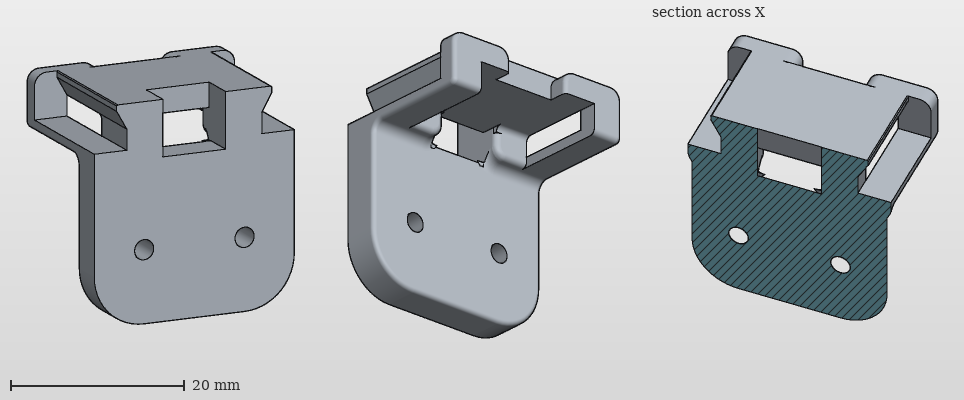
import cadquery as cq
import math

length = 18.8
width = 25.4
height = 26.55
half_width = width / 2

plate_thickness = 4.55
plate_front = length - plate_thickness
arm_depth = 6.87
inner_radius = 1.33
plate_corner_radius = 6.32
edge_radius = 0.53
lower_front_radius = 0.75

hook_length = 2.55
hook_gap = 8.33
hook_corner_radius = 1.55

channel_start = 2.45
channel_depth = 5.55
rail_bevel = 0.13
rail_max_width = 19.7
rail_top_width = rail_max_width - 2 * rail_bevel
rail_base_width = 17.15
rail_lip_depth = 0.77
rail_depth = 3.03

pillar_front = 11.95
pillar_corner_radius = 1.49
pillar_top_radius = 0.75
notch_width = 7.95

hole_diameter = 2.42
hole_spacing = 12.75
hole_depth_from_top = 17.68

diagonal = math.sqrt(0.5)
margin = 1.33


def block(x0, x1, y0, y1, z0, z1):
    """Box between the given limits."""
    return cq.Workplane("XY").box(x1 - x0, y1 - y0, z1 - z0, centered=False).translate((x0, y0, z0))


def make_bracket():
    """L-shaped body with two front hooks and rounded outer edges."""
    bend_x = plate_front - inner_radius
    bend_z = -arm_depth - inner_radius
    body = (
        cq.Workplane("XZ")
        .moveTo(0, 0)
        .lineTo(length, 0)
        .lineTo(length, -height)
        .lineTo(plate_front, -height)
        .lineTo(plate_front, bend_z)
        .threePointArc(
            (bend_x + inner_radius * diagonal, bend_z + inner_radius * diagonal),
            (bend_x, -arm_depth),
        )
        .lineTo(lower_front_radius, -arm_depth)
        .radiusArc((0, lower_front_radius - arm_depth), lower_front_radius)
        .close()
        .extrude(half_width, both=True)
    )
    gap = block(-margin, hook_length, -hook_gap / 2, hook_gap / 2, -arm_depth - margin, margin)
    body = body.cut(gap)
    body = body.edges("|X and <Z").fillet(plate_corner_radius)
    body = body.edges("|X and >Z").fillet(hook_corner_radius)
    rim_zone = cq.selectors.BoxSelector((-edge_radius, -width, -channel_depth), (edge_radius, width, margin))
    front_rims = body.faces("<X").edges(rim_zone)
    side_zone = cq.selectors.BoxSelector(
        (0, -width, -height - margin),
        (length - edge_radius, width, edge_radius - arm_depth),
    )
    outer_sides = body.edges(side_zone).edges("<Y or >Y or <Z")
    return front_rims.add(outer_sides).fillet(edge_radius)


def pillar_profile(y, base_z):
    """Pillar section hanging from base_z, with a rounded front edge and a flare onto the plate."""
    return (
        cq.Workplane("XZ", origin=(0, y, 0))
        .moveTo(pillar_front, base_z)
        .lineTo(pillar_front, lower_front_radius - arm_depth)
        .radiusArc((pillar_front + lower_front_radius, -arm_depth), -lower_front_radius)
        .lineTo(plate_front - inner_radius, -arm_depth)
        .radiusArc((plate_front, -arm_depth - inner_radius), inner_radius)
        .lineTo(plate_front, base_z)
        .close()
    )


def make_pillar():
    """Pillar on the +Y side, with its lower inner corner rounded about an axis along X."""
    inner_y = notch_width / 2
    outer_y = rail_base_width / 2
    corner_y = inner_y + pillar_corner_radius
    corner_z = pillar_corner_radius - arm_depth
    upper = block(pillar_front, plate_front, inner_y, outer_y, corner_z, -rail_depth)
    upper = upper.edges("|Z and <X and <Y").fillet(lower_front_radius)
    lower = pillar_profile(corner_y, corner_z).extrude(corner_y - outer_y)
    corner = pillar_profile(corner_y, corner_z).revolve(360, (0, corner_z), (1, corner_z))
    blend = (
        cq.Workplane("XZ", origin=(0, inner_y, 0))
        .moveTo(pillar_front, -rail_depth)
        .lineTo(pillar_front - pillar_top_radius, -rail_depth)
        .radiusArc((pillar_front, -rail_depth - pillar_top_radius), pillar_top_radius)
        .lineTo(pillar_front + edge_radius, -rail_depth - pillar_top_radius)
        .lineTo(pillar_front + edge_radius, -rail_depth)
        .close()
        .extrude(inner_y - outer_y)
    )
    return upper.union(lower).union(corner).union(blend)


def make_side_channel():
    """Cutter for the +Y channel; its inner wall follows the dovetail flank of the rail."""
    run = length + margin - channel_start
    return (
        cq.Workplane("YZ", origin=(channel_start, 0, 0))
        .moveTo(half_width + margin, margin)
        .lineTo(rail_top_width / 2, margin)
        .lineTo(rail_top_width / 2, 0)
        .lineTo(rail_max_width / 2, -rail_bevel)
        .lineTo(rail_max_width / 2, -rail_lip_depth)
        .lineTo(rail_base_width / 2, -rail_depth)
        .lineTo(rail_base_width / 2, -channel_depth)
        .lineTo(half_width + margin, -channel_depth)
        .close()
        .extrude(run)
    )


def make_notch():
    """Cutter for the window under the rail and the notch through the rail and plate."""
    half_notch = notch_width / 2
    window = block(-margin, length + margin, -half_notch, half_notch, -arm_depth, -rail_depth)
    notch = block(plate_front, length + margin, -half_notch, half_notch, -arm_depth, margin)
    floor_rounding = (
        cq.Workplane("XZ")
        .moveTo(plate_front, -arm_depth)
        .lineTo(plate_front + edge_radius, -arm_depth)
        .radiusArc((plate_front, -arm_depth - edge_radius), -edge_radius)
        .close()
        .extrude(half_notch, both=True)
    )
    return window.union(notch).union(floor_rounding)


def make_holes():
    """Cutters for the two screw holes through the plate."""
    return (
        cq.Workplane("YZ", origin=(plate_front - margin, 0, 0))
        .pushPoints([(side * hole_spacing / 2, -hole_depth_from_top) for side in (-1, 1)])
        .circle(hole_diameter / 2)
        .extrude(plate_thickness + 2 * margin)
    )


clearance_bottom = -arm_depth - inner_radius
half_base = rail_base_width / 2
clearance = block(-margin, plate_front, -half_base, half_base, clearance_bottom, -rail_depth)
result = make_bracket().cut(clearance)

pillar = make_pillar()
channel = make_side_channel()
result = result.union(pillar).union(pillar.mirror("XZ"))
result = result.cut(channel).cut(channel.mirror("XZ"))
result = result.cut(make_notch()).cut(make_holes())